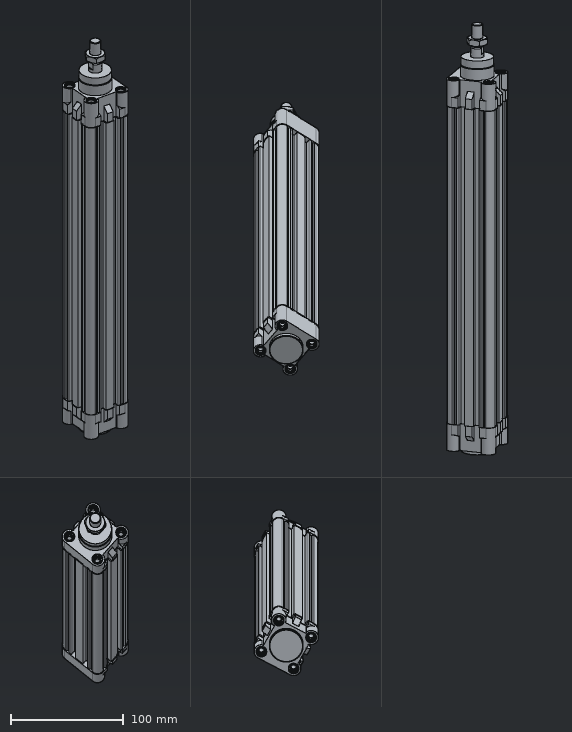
import cadquery as cq
import math


total_length = 396
cap_height = 25.0
rear_collar_height = 4
front_cap_top = 348.0
front_collar_top = 366.0
barrel_bottom = rear_collar_height + cap_height
barrel_top = front_cap_top - cap_height

cap_size = 45.5
cap_half = cap_size / 2
screw_offset = 16.2
boss_radius = cap_half - screw_offset
cap_face_offset = 17.5
boss_inner_edge = 10.3
pad_height = 9.5
rib_width = 6.5
rib_slope = cap_half - cap_face_offset
pad_slope = 2.8

head_seat = (9.5, 0.8)
head_recess = (8, 1.5)
socket = (6.0, 4)
thread_hole = (4.8, 8)
drill_tip_depth = 1.5

collar_diameter = 30.0
collar_rim_diameter = 29.0
collar_rim_height = 7.0
collar_chamfer = (collar_diameter - collar_rim_diameter) / 2

barrel_half = 22.0
groove_floor = 18.0
barrel_rib_half = 4.5
lobe_end = 9.0
lobe_tip_radius = 0.8
flute_inner_edge = 11.5
flute_outer_edge = 15.0
flute_depth = 1.0

rod_diameter = 12
thread_diameter = 10.0
thread_chamfer = 0.6
shoulder_height = 375.5
shoulder_chamfer = (rod_diameter - thread_diameter) / 2
flat_bottom = 369.0
flat_width = 10.0
nut_width = 17.0
nut_bottom = 377.5
nut_height = 6.0
nut_chamfer_diameter = 16.5
nut_chamfer_angle = math.radians(30)


def rotated(shape, quarter_turns):
    return shape.rotate((0, 0, 0), (0, 0, 1), 90 * quarter_turns)


def box(x_range, y_range, z_range):
    """Box spanning the given ranges."""
    sizes = [high - low for low, high in (x_range, y_range, z_range)]
    low_corner = (x_range[0], y_range[0], z_range[0])
    return cq.Workplane("XY").box(*sizes, centered=False).translate(low_corner)


def cylinder(diameter, bottom, top):
    return cq.Workplane("XY").workplane(offset=bottom).circle(diameter / 2).extrude(top - bottom)


def sloped_block(x_start, x_end, slope_rise):
    """Block on the -Y side, rising from the barrel face and ending in a slope."""
    return (
        cq.Workplane("YZ")
        .workplane(offset=x_start)
        .moveTo(-cap_face_offset, 0)
        .lineTo(-cap_half, 0)
        .lineTo(-cap_half, pad_height)
        .lineTo(-cap_face_offset, pad_height + slope_rise)
        .close()
        .extrude(x_end - x_start)
    )


def screw_recess():
    """Stepped hole with a drill tip, cut down from the outer cap face."""
    tip_diameter, tip_top = thread_hole
    recess = (
        cq.Workplane("XZ")
        .moveTo(0, cap_height - tip_top)
        .lineTo(tip_diameter / 2, cap_height - tip_top)
        .lineTo(0, cap_height - tip_top - drill_tip_depth)
        .close()
        .revolve(360, (0, 0, 0), (0, 1, 0))
    )
    for diameter, depth in (head_seat, head_recess, socket, thread_hole):
        recess = recess.union(cylinder(diameter, cap_height - depth, cap_height))
    return recess


def end_cap():
    """Cap with its barrel face at Z = 0 and its outer face at the top."""
    z_range = (0, cap_height)
    cap = box((-cap_face_offset, cap_face_offset), (-cap_face_offset, cap_face_offset), z_range)
    cap = cap.union(box((-screw_offset, screw_offset), (0, cap_half), z_range))
    corners = [(x, y) for x in (-screw_offset, screw_offset) for y in (-screw_offset, screw_offset)]
    for x, y in corners:
        boss = cylinder(2 * boss_radius, *z_range).translate((x, y, 0))
        x_range = sorted((math.copysign(boss_inner_edge, x), math.copysign(cap_half, x)))
        y_range = sorted((math.copysign(boss_inner_edge, y), math.copysign(cap_half, y)))
        cap = cap.union(boss.intersect(box(x_range, y_range, z_range)))
    for turn in (-1, 0, 1):
        cap = cap.union(rotated(sloped_block(-rib_width / 2, rib_width / 2, rib_slope), turn))
        cap = cap.union(rotated(sloped_block(-screw_offset, -boss_inner_edge, pad_slope), turn))
        cap = cap.union(rotated(sloped_block(boss_inner_edge, screw_offset, pad_slope), turn))
    for x, y in corners:
        cap = cap.cut(screw_recess().translate((x, y, 0)))
    return cap


def barrel_groove(length):
    """Cutter on the -Y side: the groove from rib to rounded lobe tip, and the flute in the lobe."""
    groove = (
        cq.Workplane("XY")
        .moveTo(barrel_rib_half, -barrel_half)
        .lineTo(barrel_rib_half, -groove_floor)
        .lineTo(lobe_end, -groove_floor)
        .lineTo(lobe_end, lobe_tip_radius - barrel_half)
        .radiusArc((lobe_end + lobe_tip_radius, -barrel_half), -lobe_tip_radius)
        .close()
        .extrude(length)
    )
    flute = (
        cq.Workplane("XY")
        .moveTo(flute_inner_edge, -barrel_half)
        .lineTo(flute_inner_edge + flute_depth, flute_depth - barrel_half)
        .lineTo(flute_outer_edge - flute_depth, flute_depth - barrel_half)
        .lineTo(flute_outer_edge, -barrel_half)
        .close()
        .extrude(length)
    )
    return groove.union(flute)


def barrel():
    """Profiled barrel: round corner lobes, a flat rib in each side and grooves between."""
    length = barrel_top - barrel_bottom
    profile = cq.Workplane("XY").rect(2 * barrel_half, 2 * barrel_half).extrude(length)
    profile = profile.edges("|Z").fillet(barrel_half - screw_offset)
    right_groove = barrel_groove(length)
    left_groove = right_groove.mirror("YZ")
    for turn in range(4):
        profile = profile.cut(rotated(right_groove, turn)).cut(rotated(left_groove, turn))
    return profile.translate((0, 0, barrel_bottom))


def chamfered_collar(height):
    """Round collar standing on Z = 0 with a chamfered top edge."""
    return cylinder(collar_diameter, 0, height).faces(">Z").chamfer(collar_chamfer)


def make_front_collar():
    """Collar with a narrower rim on top."""
    rim_bottom = front_collar_top - collar_rim_height
    base = chamfered_collar(rim_bottom - front_cap_top).translate((0, 0, front_cap_top))
    return base.union(cylinder(collar_rim_diameter, rim_bottom, front_collar_top))


def make_rear_collar():
    return chamfered_collar(rear_collar_height).mirror("XY").translate((0, 0, rear_collar_height))


def make_housing():
    front_cap = end_cap().translate((0, 0, barrel_top))
    rear_cap = end_cap().mirror("XY").translate((0, 0, barrel_bottom))
    body = barrel().union(front_cap).union(rear_cap)
    body = body.union(make_front_collar()).union(make_rear_collar())
    return body.cut(cylinder(rod_diameter, barrel_top, front_collar_top))


def make_rod():
    """Rod with two wrench flats facing +Y and -Y and a thinner threaded end."""
    rod = cylinder(rod_diameter, barrel_top, shoulder_height)
    rod = rod.faces(">Z").chamfer(shoulder_chamfer)
    for quarter_turns in (0, 2):
        y_range = (flat_width / 2, rod_diameter)
        flat = box((-rod_diameter, rod_diameter), y_range, (flat_bottom, shoulder_height))
        rod = rod.cut(rotated(flat, quarter_turns))
    thread = cylinder(thread_diameter, shoulder_height, total_length)
    return rod.union(thread.faces(">Z").chamfer(thread_chamfer))


def make_nut():
    """Hexagon nut with two flats facing +X and -X and chamfered corners."""
    corner_diameter = nut_width / math.cos(math.pi / 6)
    nut = cq.Workplane("XY").polygon(6, corner_diameter).extrude(nut_height)
    nut = nut.rotate((0, 0, 0), (0, 0, 1), 30)
    corner_chamfer = (corner_diameter - nut_chamfer_diameter) / 2
    rounding = cylinder(corner_diameter, 0, nut_height)
    chamfer_height = corner_chamfer * math.tan(nut_chamfer_angle)
    rounding = rounding.faces("<Z or >Z").chamfer(chamfer_height, corner_chamfer)
    nut = nut.intersect(rounding).cut(cylinder(thread_diameter, 0, nut_height))
    return nut.translate((0, 0, nut_bottom))


housing = make_housing()
rod = make_rod()
nut = make_nut()

result = cq.Compound.makeCompound([housing.val(), rod.val(), nut.val()])